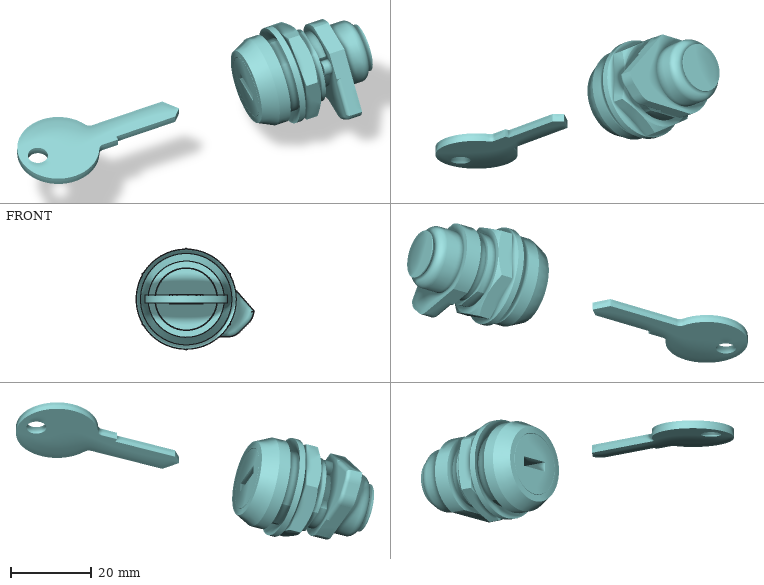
import cadquery as cq
import math

BEZEL_RIM_Y = 4.0
BEZEL_BACK_Y = 7.0
WASHER_FRONT_Y = 9.0
WASHER_RIM_BACK_Y = 10.6
NUT_FRONT_Y = 11.5
NUT_BACK_Y = 15.5
ROTOR_SHOULDER_Y = 16.5
BARREL_BACK_Y = 17.5
STOP_PIN_FRONT_Y = 18.0
CAM_FRONT_Y = 20.0
CAM_BACK_Y = 24.0
CAP_BACK_Y = 30.6
LOCK_LENGTH = 31.8

BEZEL_RADIUS = 11.4
BEZEL_FACE_RADIUS = 9.5
BARREL_RADIUS = 9.4
BARREL_ACROSS_FLATS = 17.0
TAIL_RADIUS = 8.2
TAIL_CAM_GAP = 0.2
TAIL_CUT_X = 4.4

ROTOR_RADIUS = 7.7
ROTOR_CLEARANCE = 0.1
SHANK_RADIUS = 6.3
DRIVE_SQUARE = 8.0
STOP_PIN_RADIUS = 1.9
STOP_PIN_X = 5.9
STOP_PIN_Z = 4.6
KEY_SLOT_WIDTH = 8.3
KEY_SLOT_HEIGHT = 2.4

WASHER_RADIUS = 12.5
WASHER_CROWN_RADIUS = 10.6
NUT_ACROSS_FLATS = 22.0
NUT_CHAMFER_RADIUS = NUT_ACROSS_FLATS / 2
NUT_CHAMFER_ANGLE = 30.0

CAM_HUB_RADIUS = 10.0
CAM_ACROSS_FLATS = 18.8
ARM_SLOPE_START_X = 6.07
OVERALL_WIDTH = 29.49
ARM_TIP_X = OVERALL_WIDTH - WASHER_RADIUS
ARM_TIP_Z = -3.0
ARM_SIDE_END_X = 16.4
ARM_SIDE_END_Z = -5.1
ARM_CORNER_X = 12.1
ARM_CORNER_RADIUS = 4.0
ARM_EDGE_RADIUS = 1.0
ARM_ROUNDING_START_X = 10.5

CAP_RADIUS = 8.0
CAP_EDGE_RADIUS = 2.0
SCREW_HEAD_RADIUS = 6.1
SCREW_RIM_HEIGHT = 0.3
SCREW_RADIUS = 2.5
SCREW_TIP_Y = CAM_FRONT_Y + 1.0

OVERALL_DEPTH = 93.47
KEY_FRONT_Y = LOCK_LENGTH - OVERALL_DEPTH
KEY_THICKNESS = 2.0
KEY_HEAD_RADIUS = 10.25
KEY_HEAD_Y = KEY_FRONT_Y + KEY_HEAD_RADIUS
KEY_HOLE_RADIUS = 2.5
KEY_HOLE_X = 0.2
KEY_HOLE_Y = -57.1
BLADE_LEFT_X = -3.4
BLADE_RIGHT_X = 2.5
BLADE_STOP_X = 3.6
BLADE_TIP_X = 0.4
BLADE_TIP_Y = -18.6
BLADE_LEFT_Y = -21.5
BLADE_RIGHT_Y = -20.6
BLADE_STOP_Y = -36.7
KEY_NECK_RADIUS = 1.5
KEY_SLOT_DEPTH = BLADE_TIP_Y - BLADE_STOP_Y


def section(y):
    """Workplane across the lock axis at station y, with local axes X and Z."""
    return cq.Workplane("XZ", origin=(0, y, 0))


def cylinder(radius, front_y, back_y):
    return section(front_y).circle(radius).extrude(front_y - back_y)


def block(width, height, front_y, back_y):
    return section(front_y).rect(width, height).extrude(front_y - back_y)


def turned(points):
    """Solid of revolution about the lock axis from (radius, y) points."""
    return cq.Workplane("XY").polyline(points).close().revolve(360, (0, 0), (0, 1))


def make_housing():
    bezel = turned([
        (0, 0),
        (BEZEL_FACE_RADIUS, 0),
        (BEZEL_RADIUS, BEZEL_RIM_Y),
        (BEZEL_RADIUS, BEZEL_BACK_Y),
        (0, BEZEL_BACK_Y),
    ])
    barrel = cylinder(BARREL_RADIUS, BEZEL_BACK_Y, BARREL_BACK_Y).intersect(
        block(2 * BARREL_RADIUS, BARREL_ACROSS_FLATS, BEZEL_BACK_Y, BARREL_BACK_Y)
    )
    tail_back_y = CAM_FRONT_Y - TAIL_CAM_GAP
    tail = cylinder(TAIL_RADIUS, BARREL_BACK_Y, tail_back_y)
    swing_space = block(2 * TAIL_RADIUS, 2 * TAIL_RADIUS, BARREL_BACK_Y, tail_back_y)
    tail = tail.cut(swing_space.translate((TAIL_CUT_X + TAIL_RADIUS, 0, 0)))
    rotor_bore = cylinder(ROTOR_RADIUS + ROTOR_CLEARANCE, 0, ROTOR_SHOULDER_Y)
    shank_bore = cylinder(SHANK_RADIUS, ROTOR_SHOULDER_Y, CAM_FRONT_Y)
    stop_pin_space = cylinder(STOP_PIN_RADIUS, STOP_PIN_FRONT_Y, CAM_FRONT_Y)
    stop_pin_space = stop_pin_space.translate((STOP_PIN_X, 0, STOP_PIN_Z))
    return bezel.union(barrel).union(tail).cut(rotor_bore).cut(shank_bore).cut(stop_pin_space)


def make_rotor():
    plug = cylinder(ROTOR_RADIUS, 0, ROTOR_SHOULDER_Y)
    shank = cylinder(SHANK_RADIUS, ROTOR_SHOULDER_Y, CAM_FRONT_Y)
    drive = block(DRIVE_SQUARE, DRIVE_SQUARE, CAM_FRONT_Y, CAM_BACK_Y)
    stop_pin = cylinder(STOP_PIN_RADIUS, STOP_PIN_FRONT_Y, CAM_FRONT_Y)
    stop_pin = stop_pin.translate((STOP_PIN_X, 0, STOP_PIN_Z))
    key_slot = block(KEY_SLOT_WIDTH, KEY_SLOT_HEIGHT, 0, KEY_SLOT_DEPTH)
    screw_hole = cylinder(SCREW_RADIUS, SCREW_TIP_Y, CAM_BACK_Y)
    return plug.union(shank).union(drive).union(stop_pin).cut(key_slot).cut(screw_hole)


def make_washer():
    cone_slope = (NUT_FRONT_Y - WASHER_RIM_BACK_Y) / (WASHER_RADIUS - WASHER_CROWN_RADIUS)
    dish_depth = (WASHER_RADIUS - BARREL_RADIUS) * cone_slope
    return turned([
        (BARREL_RADIUS, WASHER_FRONT_Y + dish_depth),
        (WASHER_RADIUS, WASHER_FRONT_Y),
        (WASHER_RADIUS, WASHER_RIM_BACK_Y),
        (WASHER_CROWN_RADIUS, NUT_FRONT_Y),
        (BARREL_RADIUS, NUT_FRONT_Y),
    ])


def make_nut():
    corner_radius = NUT_ACROSS_FLATS / 2 / math.cos(math.pi / 6)
    chamfer_rise = corner_radius - NUT_CHAMFER_RADIUS
    chamfer_depth = chamfer_rise * math.tan(math.radians(NUT_CHAMFER_ANGLE))
    hexagon = section(NUT_FRONT_Y).polygon(6, 2 * corner_radius).extrude(NUT_FRONT_Y - NUT_BACK_Y)
    hexagon = hexagon.rotate((0, 0, 0), (0, 1, 0), 30)
    chamfered_blank = turned([
        (BARREL_RADIUS, NUT_FRONT_Y),
        (corner_radius, NUT_FRONT_Y),
        (corner_radius, NUT_BACK_Y - chamfer_depth),
        (NUT_CHAMFER_RADIUS, NUT_BACK_Y),
        (BARREL_RADIUS, NUT_BACK_Y),
    ])
    return hexagon.intersect(chamfered_blank)


def make_cam():
    thickness = CAM_BACK_Y - CAM_FRONT_Y
    half_flats = CAM_ACROSS_FLATS / 2
    hub = cylinder(CAM_HUB_RADIUS, CAM_FRONT_Y, CAM_BACK_Y).intersect(
        block(2 * CAM_HUB_RADIUS, CAM_ACROSS_FLATS, CAM_FRONT_Y, CAM_BACK_Y)
    )
    outline = [
        (0, half_flats),
        (ARM_SLOPE_START_X, half_flats),
        (ARM_TIP_X, ARM_TIP_Z),
        (ARM_SIDE_END_X, ARM_SIDE_END_Z),
        (ARM_CORNER_X, -half_flats),
        (0, -half_flats),
    ]
    arm = section(CAM_FRONT_Y).polyline(outline).close().extrude(-thickness)
    mid_y = (CAM_FRONT_Y + CAM_BACK_Y) / 2
    for corner_x, corner_z in outline[3:5]:
        corner = cq.selectors.NearestToPointSelector((corner_x, mid_y, corner_z))
        arm = arm.edges(corner).fillet(ARM_CORNER_RADIUS)

    margin = ARM_EDGE_RADIUS
    rounded_edges = cq.selectors.BoxSelector(
        (margin, CAM_FRONT_Y - margin, -half_flats - margin),
        (ARM_TIP_X + margin, CAM_FRONT_Y + margin, half_flats - margin),
    )
    rounded_arm = arm.edges(rounded_edges).fillet(ARM_EDGE_RADIUS)
    sharp_zone = (
        section(CAM_FRONT_Y)
        .rect(ARM_ROUNDING_START_X, half_flats, centered=False)
        .extrude(-thickness)
    )
    sharp_part = arm.intersect(sharp_zone)
    drive_hole = block(DRIVE_SQUARE, DRIVE_SQUARE, CAM_FRONT_Y, CAM_BACK_Y)
    return hub.union(rounded_arm).union(sharp_part).cut(drive_hole)


def make_screw():
    rim_front_y = LOCK_LENGTH - SCREW_RIM_HEIGHT
    cone_front_y = rim_front_y - (SCREW_HEAD_RADIUS - SCREW_RADIUS)
    return turned([
        (0, SCREW_TIP_Y),
        (SCREW_RADIUS, SCREW_TIP_Y),
        (SCREW_RADIUS, cone_front_y),
        (SCREW_HEAD_RADIUS, rim_front_y),
        (SCREW_HEAD_RADIUS, LOCK_LENGTH),
        (0, LOCK_LENGTH),
    ])


def make_cap(screw):
    cap = cylinder(CAP_RADIUS, CAM_BACK_Y, CAP_BACK_Y)
    cap = cap.faces(">Y").edges().fillet(CAP_EDGE_RADIUS)
    return cap.cut(screw)


def make_key():
    bottom_z = -KEY_THICKNESS / 2
    head = (
        cq.Workplane("XY", origin=(0, 0, bottom_z))
        .center(0, KEY_HEAD_Y)
        .circle(KEY_HEAD_RADIUS)
        .extrude(KEY_THICKNESS)
    )
    blade = (
        cq.Workplane("XY", origin=(0, 0, bottom_z))
        .polyline([
            (BLADE_LEFT_X, KEY_HEAD_Y),
            (BLADE_LEFT_X, BLADE_LEFT_Y),
            (BLADE_TIP_X, BLADE_TIP_Y),
            (BLADE_RIGHT_X, BLADE_RIGHT_Y),
            (BLADE_RIGHT_X, BLADE_STOP_Y),
            (BLADE_STOP_X, BLADE_STOP_Y),
            (BLADE_STOP_X, KEY_HEAD_Y),
        ])
        .close()
        .extrude(KEY_THICKNESS)
    )
    key = head.union(blade)
    for neck_x in (BLADE_LEFT_X, BLADE_STOP_X):
        neck_y = KEY_HEAD_Y + math.sqrt(KEY_HEAD_RADIUS**2 - neck_x**2)
        neck = cq.selectors.NearestToPointSelector((neck_x, neck_y, 0))
        key = key.edges(neck).fillet(KEY_NECK_RADIUS)
    hole = (
        cq.Workplane("XY", origin=(0, 0, bottom_z))
        .center(KEY_HOLE_X, KEY_HOLE_Y)
        .circle(KEY_HOLE_RADIUS)
        .extrude(KEY_THICKNESS)
    )
    return key.cut(hole)


housing = make_housing()
rotor = make_rotor()
washer = make_washer()
nut = make_nut()
cam = make_cam()
screw = make_screw()
cap = make_cap(screw)
key = make_key()

result = cq.Compound.makeCompound([
    housing.val(),
    rotor.val(),
    washer.val(),
    nut.val(),
    cam.val(),
    screw.val(),
    cap.val(),
    key.val(),
])